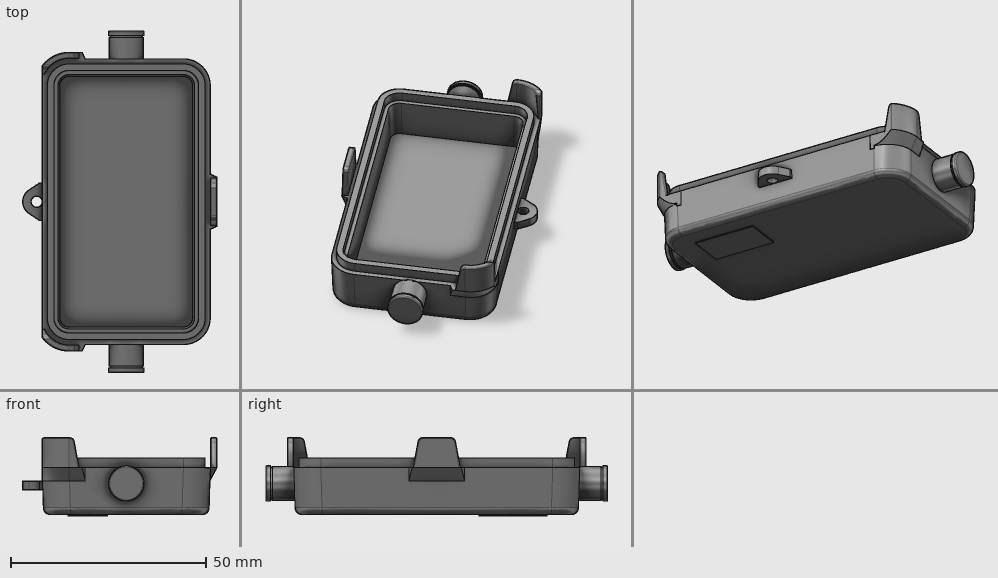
import cadquery as cq
import math

BODY_X = 43.05
BODY_Y = 73.15
CORNER_R = 6.9
STEP_Z = 12.0
RIM_Z = 14.5
BODY_DRAFT = 1.7
BOTTOM_FILLET = 1.8
WALL_ROOT = 0.9

RIM_INSET = 1.3
RIM_WALL = 1.7
LEDGE_WIDTH = 1.05
FLOOR_Z = 2.3
CAVITY_DRAFT = 3

PIN_Z = 8.0
PIN_END_Y = 43.75
PIN_R = 4.4
PIN_HEAD_R = 4.55
PIN_HEAD_LENGTH = 1.2
PIN_HEAD_FILLET = 0.35
PIN_GROOVE_R = 4.2
PIN_GROOVE_WIDTH = 0.5

LUG_X = -22.9
LUG_R = 3.6
LUG_HOLE_R = 1.4
LUG_HALF_Y = 4.8
LUG_SHOULDER_X = -22.2
LUG_Z = 6.3
LUG_THICKNESS = 2.3

CLIP_TOP_Z = 19.7
CLIP_REACH = 1.7
CLIP_GAP = 0.1
CLIP_SLOPE = 10.5
CLIP_TOP_R = 1.3
CLIP_EDGE_R = 0.3
BRACKET_RUN_Z = 8.8
BRACKET_FOOT_Z = 8.0
BRACKET_BEVEL = 0.8

CORNER_CLIP_END_X = -12.1
CORNER_CLIP_END_Y = 32.6
CORNER_BRACKET_END_X = -10.5
CORNER_BRACKET_END_Y = 28.4

TAB_HALF_Y = 6.0
TAB_BRACKET_HALF_Y = 7.1

PAD_CENTER = (-9.9, 19.5)
PAD_X = 10.15
PAD_Y = 17.3
PAD_THICKNESS = 0.315

SIDE_X = BODY_X / 2
SIDE_Y = BODY_Y / 2
CORNER_X = SIDE_X - CORNER_R
CORNER_Y = SIDE_Y - CORNER_R
CLIP_LEAN = (CLIP_TOP_Z - STEP_Z) * math.tan(math.radians(CLIP_SLOPE))
BRACKET_SLOPE = CLIP_REACH / (STEP_Z - BRACKET_RUN_Z)
FOOT_OFFSET = (BRACKET_FOOT_Z - BRACKET_RUN_Z) * BRACKET_SLOPE


def rounded_block(inset, z_from, z_to, draft=0):
    """Block following the box outline moved inwards; it may be extruded up or down."""
    size_x = BODY_X - 2 * inset
    size_y = BODY_Y - 2 * inset
    outline = cq.Sketch().rect(size_x, size_y).vertices().fillet(CORNER_R - inset)
    return cq.Workplane("XY", origin=(0, 0, z_from)).placeSketch(outline).extrude(z_to - z_from, taper=draft)


def make_box():
    """Box with drafted sides, one corner radius over its whole height, and a rim on top."""
    draft_inset = STEP_Z * math.tan(math.radians(BODY_DRAFT))

    def outline(inset, z):
        rectangle = cq.Sketch().rect(BODY_X - 2 * inset, BODY_Y - 2 * inset)
        return rectangle.vertices().fillet(CORNER_R).moved(cq.Location(cq.Vector(0, 0, z)))

    body = cq.Workplane("XY").placeSketch(outline(draft_inset, 0), outline(0, STEP_Z)).loft()
    body = body.faces("<Z").edges().fillet(BOTTOM_FILLET)
    return body.union(rounded_block(RIM_INSET, FLOOR_Z, RIM_Z))


def cut_cavity(box):
    rim_inside = RIM_INSET + RIM_WALL
    box = box.cut(rounded_block(rim_inside, STEP_Z, RIM_Z))
    return box.cut(rounded_block(rim_inside + LEDGE_WIDTH, STEP_Z, FLOOR_Z, CAVITY_DRAFT))


def make_pin():
    """Grooved pin along +Y, rooted in the end wall below the step."""
    root_y = SIDE_Y - WALL_ROOT
    head_y = PIN_END_Y - PIN_HEAD_LENGTH

    def cylinder(radius, y_from, y_to):
        return cq.Workplane("XZ", origin=(0, y_from, PIN_Z)).circle(radius).extrude(y_from - y_to)

    root = cylinder(PIN_R, root_y, SIDE_Y).intersect(rounded_block(0, 0, STEP_Z))
    shank = cylinder(PIN_R, SIDE_Y, head_y - PIN_GROOVE_WIDTH)
    groove = cylinder(PIN_GROOVE_R, SIDE_Y, head_y)
    head = cylinder(PIN_HEAD_R, head_y, PIN_END_Y).faces(">Y").edges().fillet(PIN_HEAD_FILLET)
    return root.union(shank).union(groove).union(head)


def make_lug():
    """Eye lug whose straight flanks run tangent to its round nose."""
    shoulder_dx = LUG_SHOULDER_X - LUG_X
    shoulder_distance = math.hypot(shoulder_dx, LUG_HALF_Y)
    tangent_angle = math.atan2(LUG_HALF_Y, shoulder_dx) + math.acos(LUG_R / shoulder_distance)
    tangent_x = LUG_X + LUG_R * math.cos(tangent_angle)
    tangent_y = LUG_R * math.sin(tangent_angle)
    root_x = -SIDE_X + WALL_ROOT
    lug = (
        cq.Workplane("XY", origin=(0, 0, LUG_Z))
        .moveTo(root_x, LUG_HALF_Y)
        .lineTo(LUG_SHOULDER_X, LUG_HALF_Y)
        .lineTo(tangent_x, tangent_y)
        .threePointArc((LUG_X - LUG_R, 0), (tangent_x, -tangent_y))
        .lineTo(LUG_SHOULDER_X, -LUG_HALF_Y)
        .lineTo(root_x, -LUG_HALF_Y)
        .close()
        .extrude(LUG_THICKNESS)
    )
    hole = cq.Workplane("XY", origin=(LUG_X, 0, LUG_Z)).circle(LUG_HOLE_R).extrude(LUG_THICKNESS)
    return lug.cut(hole)


def bracket_section(plane, origin):
    """Bracket cross-section: local x runs outwards from the box side, local y is height."""
    return (
        cq.Workplane(plane, origin=origin)
        .polyline([
            (-WALL_ROOT, STEP_Z),
            (CLIP_REACH, STEP_Z),
            (FOOT_OFFSET, BRACKET_FOOT_Z),
            (-WALL_ROOT, BRACKET_FOOT_Z),
        ])
        .close()
    )


def make_tab():
    """Upright tab on a sloped bracket in the middle of the +X side."""
    thickness = CLIP_REACH - CLIP_GAP
    top_half_y = TAB_HALF_Y - CLIP_LEAN
    upright = (
        cq.Workplane("YZ", origin=(SIDE_X + CLIP_GAP, 0, 0))
        .polyline([
            (-TAB_HALF_Y, STEP_Z),
            (TAB_HALF_Y, STEP_Z),
            (top_half_y, CLIP_TOP_Z),
            (-top_half_y, CLIP_TOP_Z),
        ])
        .close()
        .extrude(thickness)
    )
    upright = upright.faces(">Z").edges("|X").fillet(CLIP_TOP_R)
    upright = upright.edges("not(<Z or |X)").fillet(CLIP_EDGE_R)

    bracket = bracket_section("XZ", (SIDE_X, TAB_BRACKET_HALF_Y, 0)).extrude(2 * TAB_BRACKET_HALF_Y)
    plan = (
        cq.Workplane("XY")
        .polyline([
            (SIDE_X - WALL_ROOT, -TAB_BRACKET_HALF_Y),
            (SIDE_X, -TAB_BRACKET_HALF_Y),
            (SIDE_X + CLIP_REACH, BRACKET_BEVEL - TAB_BRACKET_HALF_Y),
            (SIDE_X + CLIP_REACH, TAB_BRACKET_HALF_Y - BRACKET_BEVEL),
            (SIDE_X, TAB_BRACKET_HALF_Y),
            (SIDE_X - WALL_ROOT, TAB_BRACKET_HALF_Y),
        ])
        .close()
        .extrude(STEP_Z)
    )
    return upright.union(bracket.intersect(plan))


def make_corner_upright():
    """Curved upright around the (-X, +Y) corner, kept inside the -X side of the box."""
    inner_r = CORNER_R + CLIP_GAP
    outer_r = CORNER_R + CLIP_REACH
    height = CLIP_TOP_Z - STEP_Z
    shell = (
        cq.Workplane("XY", origin=(-CORNER_X, CORNER_Y, STEP_Z))
        .moveTo(-outer_r, 0)
        .radiusArc((0, outer_r), outer_r)
        .lineTo(CORNER_R, outer_r)
        .lineTo(CORNER_R, inner_r)
        .lineTo(0, inner_r)
        .radiusArc((-inner_r, 0), -inner_r)
        .close()
        .extrude(height)
    )
    x_window = (
        cq.Workplane("XZ", origin=(0, SIDE_Y + CLIP_REACH, 0))
        .polyline([
            (-SIDE_X, STEP_Z),
            (CORNER_CLIP_END_X, STEP_Z),
            (CORNER_CLIP_END_X - CLIP_LEAN, CLIP_TOP_Z),
            (-SIDE_X, CLIP_TOP_Z),
        ])
        .close()
        .extrude(CORNER_R + CLIP_REACH)
        .faces(">Z").edges(">X")
        .fillet(CLIP_TOP_R)
    )
    y_window = (
        cq.Workplane("YZ", origin=(-SIDE_X, 0, 0))
        .polyline([
            (CORNER_CLIP_END_Y, STEP_Z),
            (SIDE_Y + CLIP_REACH, STEP_Z),
            (SIDE_Y + CLIP_REACH, CLIP_TOP_Z),
            (CORNER_CLIP_END_Y + CLIP_LEAN, CLIP_TOP_Z),
        ])
        .close()
        .extrude(2 * CORNER_R)
        .faces(">Z").edges("<Y")
        .fillet(CLIP_TOP_R)
    )
    upright = shell.intersect(x_window).intersect(y_window)
    return upright.edges("not <Z").fillet(CLIP_EDGE_R)


def make_corner_bracket():
    """Sloped bracket under the (-X, +Y) upright, trimmed flush with the -X side."""
    run = CORNER_X + CORNER_BRACKET_END_X
    straight = bracket_section("YZ", (-CORNER_X, SIDE_Y, 0)).extrude(run)
    bend = bracket_section("YZ", (-CORNER_X, SIDE_Y, 0)).revolve(90, (-CORNER_R, 0), (-CORNER_R, 1))
    plan = (
        cq.Workplane("XY")
        .polyline([
            (-SIDE_X, CORNER_Y),
            (-SIDE_X, SIDE_Y + CLIP_REACH),
            (CORNER_BRACKET_END_X - BRACKET_BEVEL, SIDE_Y + CLIP_REACH),
            (CORNER_BRACKET_END_X, SIDE_Y),
            (CORNER_BRACKET_END_X, CORNER_Y),
        ])
        .close()
        .extrude(STEP_Z)
    )
    cheek = cq.Workplane("XY").box(
        WALL_ROOT, CORNER_Y - CORNER_BRACKET_END_Y, STEP_Z - BRACKET_FOOT_Z, centered=False
    ).translate((-SIDE_X, CORNER_BRACKET_END_Y, BRACKET_FOOT_Z))
    return straight.union(bend).intersect(plan).union(cheek)


def make_pad():
    return (
        cq.Workplane("XY", origin=(*PAD_CENTER, -PAD_THICKNESS))
        .rect(PAD_X, PAD_Y)
        .extrude(PAD_THICKNESS)
    )


def both_ends(feature):
    return feature.union(feature.mirror("XZ"))


result = make_box().union(both_ends(make_pin()))
result = cut_cavity(result)
result = result.union(make_lug())
result = result.union(make_tab())
result = result.union(both_ends(make_corner_bracket()))
result = result.union(both_ends(make_corner_upright()))
result = result.union(make_pad())